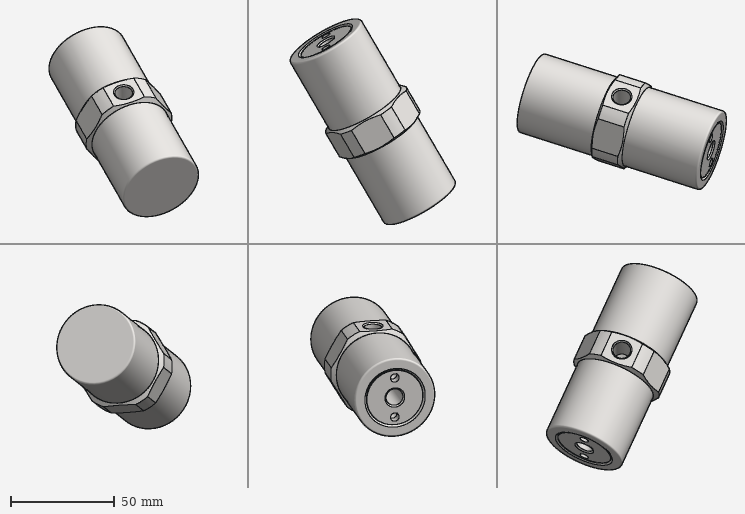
import cadquery as cq
import math

body_length = 94.0
body_diameter = 40.0
end_fillet = 0.9

hex_across_flats = 42.0
collar_diameter = 45.0
collar_end_diameter = 40.2
collar_width = 16.2
collar_chamfer_angle = 30.0

axial_port_diameter = 8.4
top_port_diameter = 8.6
port_mouth_diameter = 9.9
axial_port_depth = 56.4
drill_point_angle = 118.0
top_port_breakthrough = 3.8

spanner_hole_diameter = 4.2
spanner_hole_depth = 4.7
spanner_hole_offset = 10.1
plug_setback = 0.5
plug_diameter = 28.2
plug_face_diameter = 27.8
recess_mouth_diameter = 30.1

body_radius = body_diameter / 2
end_x = -body_length / 2
plug_x = end_x + plug_setback


def turned(points):
    """Revolve an (x, radius) outline about the X axis."""
    return cq.Workplane("XY").polyline(points).close().revolve(360, (0, 0, 0), (1, 0, 0))


def drill(diameter, depth, mouth_diameter=None, pointed=True):
    """Drill cutter along +X from the origin: depth to the full diameter, optional mouth and point."""
    radius = diameter / 2
    points = [(0, 0)]
    if mouth_diameter:
        mouth_radius = mouth_diameter / 2
        points += [(0, mouth_radius), (mouth_radius - radius, radius)]
    else:
        points += [(0, radius)]
    points.append((depth, radius))
    point_length = radius / math.tan(math.radians(drill_point_angle / 2)) if pointed else 0
    points.append((depth + point_length, 0))
    return turned(points)


def collar():
    hexagon = (
        cq.Workplane("YZ")
        .polygon(6, hex_across_flats, circumscribed=True)
        .extrude(collar_width / 2, both=True)
        .rotate((0, 0, 0), (1, 0, 0), 90)
    )
    radius = collar_diameter / 2
    end_radius = collar_end_diameter / 2
    half_width = collar_width / 2
    chamfer_length = (radius - end_radius) * math.tan(math.radians(collar_chamfer_angle))
    shoulder = half_width - chamfer_length
    envelope = turned([
        (-half_width, 0),
        (-half_width, end_radius),
        (-shoulder, radius),
        (shoulder, radius),
        (half_width, end_radius),
        (half_width, 0),
    ])
    return hexagon.intersect(envelope)


def body():
    cylinder = cq.Workplane("YZ").circle(body_radius).extrude(body_length / 2, both=True)
    return cylinder.faces("<X or >X").edges().fillet(end_fillet)


def axial_port():
    cutter = drill(axial_port_diameter, axial_port_depth, port_mouth_diameter, pointed=False)
    return cutter.translate((plug_x, 0, 0))


def top_port():
    flat_z = hex_across_flats / 2
    cone_rise = 1 / math.tan(math.radians(drill_point_angle / 2))
    cone_base_z = axial_port_diameter / 2 + (top_port_diameter - top_port_breakthrough) / 2 * cone_rise
    cutter = drill(top_port_diameter, flat_z - cone_base_z, port_mouth_diameter)
    return cutter.rotate((0, 0, 0), (0, 1, 0), 90).translate((0, 0, flat_z))


def plug_recess():
    """45-degree chamfer of the body down to the plug, the plug bevel and the space before its face."""
    mouth_radius = recess_mouth_diameter / 2
    plug_radius = plug_diameter / 2
    chamfer_end_x = end_x + mouth_radius - plug_radius
    return turned([
        (end_x, 0),
        (end_x, mouth_radius),
        (chamfer_end_x, plug_radius),
        (plug_x, plug_face_diameter / 2),
        (plug_x, 0),
    ])


def spanner_holes():
    hole = drill(spanner_hole_diameter, spanner_hole_depth)
    upper = hole.translate((plug_x, 0, spanner_hole_offset))
    lower = hole.translate((plug_x, 0, -spanner_hole_offset))
    return upper.union(lower)


result = body().union(collar())
for cutter in (plug_recess(), axial_port(), top_port(), spanner_holes()):
    result = result.cut(cutter)